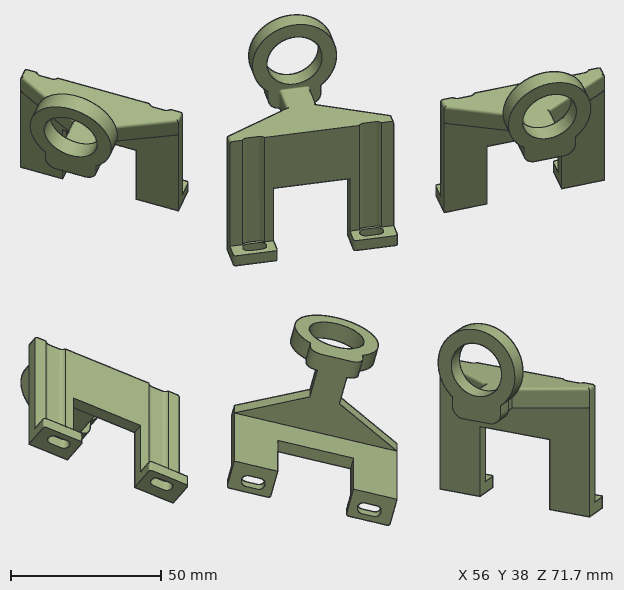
import cadquery as cq


width = 56.0
depth = 38.0
height = 71.7

wall_thickness = 4.0
leg_width = 15.0
leg_gap = width - 2 * leg_width
gap_height = 25.0
foot_reach = 6.0
foot_thickness = 4.0
foot_corner_radius = 0.85

slot_length = 8.0
slot_width = 4.0
slot_from_side = 8.0
slot_x = width / 2 - slot_from_side
slot_y = foot_reach - slot_width
relief_depth = 1.0

arm_top = 45.95
arm_bottom = 39.0
neck_width = 10.2
taper_end_y = -16.0
edge_radius = 1.0
neck_cove_radius = 0.5

ring_outer_diameter = 28.75
ring_hole_diameter = 18.8
ring_thickness = 6.0
ring_center_z = height - ring_outer_diameter / 2
ring_front_y = foot_reach - depth
ring_rear_y = ring_front_y + ring_thickness
base_width = 18.0
base_corner_radius = 4.0


def make_arm():
    """Tapered top plate and neck, rounded along the upper side edges."""
    half_width = width / 2
    half_neck = neck_width / 2
    outline = [
        (-half_width, 0),
        (-half_width, -wall_thickness),
        (-half_neck, taper_end_y),
        (-half_neck, ring_rear_y),
        (half_neck, ring_rear_y),
        (half_neck, taper_end_y),
        (half_width, -wall_thickness),
        (half_width, 0),
    ]
    plate = cq.Workplane("XY").workplane(offset=arm_bottom).polyline(outline).close()
    plate = plate.extrude(arm_top - arm_bottom)
    return plate.faces(">Z").edges("not |X").fillet(edge_radius)


def make_wall():
    """Upright wall below the arm, opened at the bottom to leave two legs."""
    wall = cq.Workplane("XY").box(width, wall_thickness, arm_bottom, centered=(True, False, False))
    gap = cq.Workplane("XY").box(leg_gap, wall_thickness, gap_height, centered=(True, False, False))
    return wall.cut(gap).translate((0, -wall_thickness, 0))


def make_foot(side):
    """Foot behind one leg, with its two rear corners rounded."""
    foot = cq.Workplane("XY").box(leg_width, foot_reach, foot_thickness, centered=(True, False, False))
    foot = foot.edges("|Z and >Y").fillet(foot_corner_radius)
    return foot.translate((side * (width - leg_width) / 2, 0, 0))


def make_slot(side, y, bottom, top):
    """Upright slot-shaped cutter, long in X, between two heights."""
    slot = cq.Workplane("XY").workplane(offset=bottom).center(side * slot_x, y)
    return slot.slot2D(slot_length, slot_width).extrude(top - bottom)


def make_ring():
    """Upright ring standing on a base with rounded lower corners."""
    ring_plane = cq.Workplane("XZ", origin=(0, ring_rear_y, 0))
    disc = ring_plane.center(0, ring_center_z).circle(ring_outer_diameter / 2).extrude(ring_thickness)
    base_height = ring_center_z - arm_bottom
    base = ring_plane.center(0, arm_bottom + base_height / 2).rect(base_width, base_height)
    base = base.extrude(ring_thickness).edges("|Y and <Z").fillet(base_corner_radius)
    hole = ring_plane.center(0, ring_center_z).circle(ring_hole_diameter / 2).extrude(ring_thickness)
    return disc.union(base).cut(hole)


def make_neck_cove(arm_and_ring):
    """Blend the sides and top of the neck into the rear face of the ring."""
    half_span = neck_width / 2 + neck_cove_radius
    lower_corner = (-half_span, ring_rear_y - neck_cove_radius / 2, arm_bottom + neck_cove_radius)
    upper_corner = (half_span, ring_rear_y + neck_cove_radius / 2, arm_top + neck_cove_radius)
    joint = cq.selectors.BoxSelector(lower_corner, upper_corner)
    return arm_and_ring.edges(joint).fillet(neck_cove_radius)


def make_bracket():
    """The whole bracket as one solid."""
    bracket = make_neck_cove(make_arm().union(make_ring()))
    bracket = bracket.union(make_wall())
    for side in (-1, 1):
        bracket = bracket.union(make_foot(side))
        bracket = bracket.cut(make_slot(side, slot_y, 0, foot_thickness))
        bracket = bracket.cut(make_slot(side, slot_y - relief_depth, foot_thickness, arm_top))
    return bracket


bracket = make_bracket()
result = cq.Compound.makeCompound([bracket.val()])